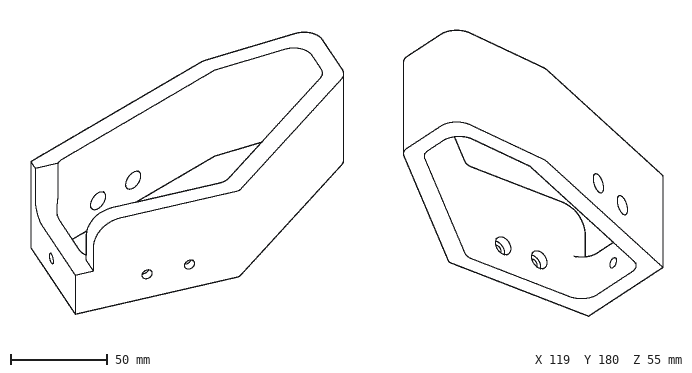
import cadquery as cq

width = 119.0
length = 180.0
height = 55.0
wall = 10.0
bend_radius = 10.0

front_left = (55.6, 0)
front_right = (width, 0)
right_bend = (width, 91.3)
back_right = (43.4, length)
back_left = (-1.0, length)
left_bend = (5.2, 115.5)
right_bend_radius = 3.6

opening_left = 62.1
opening_right = 108.5
opening_floor = 25.0
opening_radius = 10.0
opening_depth = 2 * wall
end_radius = 15.0

screw_diameter = 5.5
access_diameter = 10.0
side_hole_y = (40.0, 63.5)
side_hole_z = 15.1
counterbore_depth = 5.4
front_hole_x = 85.0
front_hole_z = 12.8


def vertical_edges_at(body, corner):
    """Select the vertical edge of a prism that stands on the given corner."""
    x, y = corner
    return body.edges(cq.selectors.NearestToPointSelector((x, y, height / 2)))


def make_frame():
    """Closed loop of constant wall thickness with rounded bends."""
    corners = [front_left, front_right, right_bend, back_right, back_left, left_bend]
    outline = cq.Workplane("XY").polyline(corners).close()
    outer = outline.extrude(height)
    for corner in (back_right, back_left, left_bend):
        outer = vertical_edges_at(outer, corner).fillet(bend_radius)
    outer = vertical_edges_at(outer, right_bend).fillet(right_bend_radius)

    cavity = cq.Workplane("XY").polyline(corners).close().offset2D(-wall, "intersection").extrude(height)
    inner_left_bend = cq.selectors.BoxSelector(
        (left_bend[0], left_bend[1] - wall, 0),
        (left_bend[0] + 2 * wall, left_bend[1] + wall, height),
    )
    rounded = cavity.edges("|Z").edges(cq.selectors.InverseSelector(inner_left_bend))
    return outer.cut(rounded.fillet(bend_radius))


def box_between(low, high):
    """Axis-aligned box between two opposite corners."""
    size = [b - a for a, b in zip(low, high)]
    return cq.Workplane("XY").box(*size, centered=False).translate(low)


def make_front_opening():
    """Cutter that opens the front wall and frees the end of the right wall."""
    slot = box_between(
        (opening_left, 0, opening_floor),
        (opening_right, opening_depth, height),
    )
    slot = slot.edges("|Y and <X and <Z").fillet(opening_radius)
    end_relief = box_between((opening_right, 0, opening_floor), (width, wall, height))
    return slot.union(end_relief)


def make_end_rounding():
    """Cutter that rounds the upper front corner of the right wall."""
    block = box_between(
        (opening_right - wall, wall, height - end_radius),
        (width, wall + end_radius, height),
    )
    cylinder = (
        cq.Workplane("YZ", origin=(opening_right - wall, 0, 0))
        .center(wall + end_radius, height - end_radius)
        .circle(end_radius)
        .extrude(width)
    )
    return block.cut(cylinder)


def x_cylinders(diameter, start, end):
    """Pair of cylinders along X at the side hole positions."""
    return (
        cq.Workplane("YZ", origin=(start, 0, 0))
        .pushPoints([(y, side_hole_z) for y in side_hole_y])
        .circle(diameter / 2)
        .extrude(end - start)
    )


def make_front_hole():
    """Cylinder through the front wall."""
    return (
        cq.Workplane("XZ")
        .center(front_hole_x, front_hole_z)
        .circle(screw_diameter / 2)
        .extrude(-2 * wall)
    )


result = (
    make_frame()
    .cut(make_front_opening())
    .cut(make_end_rounding())
    .cut(x_cylinders(access_diameter, 0, width - wall + counterbore_depth))
    .cut(x_cylinders(screw_diameter, 0, width))
    .cut(make_front_hole())
)